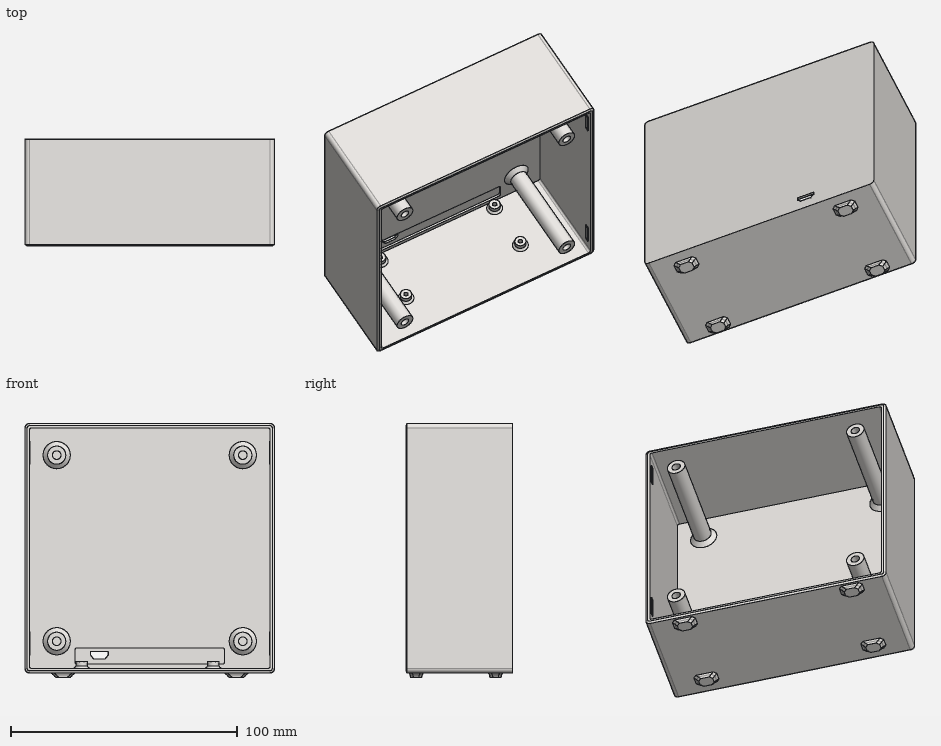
import cadquery as cq
SIDE = 110.0
DEPTH = 47.0
WALL = 2.0
BACK_WALL = 2.0
OUTER_RADIUS = 2.0
INNER_RADIUS = 1.0
RIM_CHAMFER_WIDTH = 1.0
RIM_CHAMFER_DEPTH = 0.5

FRONT_Y = -DEPTH / 2
BACK_Y = DEPTH / 2
FLOOR_Y = BACK_Y - BACK_WALL
BOTTOM_Z = -SIDE / 2
INNER_BOTTOM_Z = BOTTOM_Z + WALL
INNER_HALF = SIDE / 2 - WALL

POST_OFFSET = 41.0
POST_DIAMETER = 8.0
POST_HOLE_DIAMETER = 3.8
POST_BASE_DIAMETER = 12.0
POST_BASE_HEIGHT = 2.0
POST_TIP_Y = FRONT_Y

STANDOFF_SPACING_X = 58.0
STANDOFF_SPACING_Y = 23.0
STANDOFF_CENTER_X = -1.0
STANDOFF_CENTER_Y = 6.5
STANDOFF_DIAMETER = 5.0
STANDOFF_HOLE_DIAMETER = 1.9
STANDOFF_BASE_DIAMETER = 7.0
STANDOFF_BASE_HEIGHT = 1.0
STANDOFF_HEIGHT = 3.0

RECESS_WIDTH = 66.0
RECESS_HEIGHT = 7.2
RECESS_BOTTOM_Z = BOTTOM_Z + 3.9
RECESS_DEPTH = 1.0
RECESS_RADIUS = 1.0

PORT_CENTER_X = -22.2
PORT_TOP_WIDTH = 7.8
PORT_BOTTOM_WIDTH = 5.0
PORT_BOTTOM_Z = BOTTOM_Z + 6.2
PORT_SHOULDER_HEIGHT = 1.8
PORT_HEIGHT = 3.2

RIDGE_LENGTH = 10.0
RIDGE_WIDTH = 2.0
RIDGE_HEIGHT = 0.3
RIDGE_OFFSET_Z = 42.0
RIDGE_CENTER_Y = FRONT_Y + 2.9

FOOT_HEIGHT = 2.0
FOOT_FLARE_HEIGHT = 0.9
FOOT_ROOT_SIZE = (10.5, 6.2)
FOOT_NECK_SIZE = (8.4, 5.4)
FOOT_TIP_SIZE = (6.4, 4.9)
FOOT_CORNER = 1.3
FOOT_OFFSET_X = 38.2
FOOT_CENTERS_Y = (FRONT_Y + 4.5, BACK_Y - 7.5)

OVERLAP = 0.5


def flared_pin(diameter, base_diameter, base_height, height):
    """Pin along +Z with a conical foot; it starts OVERLAP below Z = 0 to fuse with its wall."""
    radius = diameter / 2
    base_radius = base_diameter / 2
    return (
        cq.Workplane("XZ")
        .moveTo(0, -OVERLAP)
        .lineTo(base_radius, -OVERLAP)
        .lineTo(base_radius, 0)
        .lineTo(radius, base_height)
        .lineTo(radius, height)
        .lineTo(0, height)
        .close()
        .revolve(360, (0, 0, 0), (0, 1, 0))
    )


def make_shell():
    outer = cq.Workplane("XY").box(SIDE, DEPTH, SIDE).edges("|Y").fillet(OUTER_RADIUS)
    outer = outer.faces("<Y").chamfer(RIM_CHAMFER_WIDTH, RIM_CHAMFER_DEPTH)
    cavity = (
        cq.Workplane("XZ", origin=(0, FLOOR_Y, 0))
        .rect(2 * INNER_HALF, 2 * INNER_HALF)
        .extrude(DEPTH)
        .edges("|Y")
        .fillet(INNER_RADIUS)
    )
    return outer.cut(cavity)


def add_posts(body):
    height = FLOOR_Y - POST_TIP_Y
    post = flared_pin(POST_DIAMETER, POST_BASE_DIAMETER, POST_BASE_HEIGHT, height)
    hole = cq.Workplane("XY").circle(POST_HOLE_DIAMETER / 2).extrude(height)
    post = post.cut(hole).rotate((0, 0, 0), (1, 0, 0), 90)
    for x in (-POST_OFFSET, POST_OFFSET):
        for z in (-POST_OFFSET, POST_OFFSET):
            body = body.union(post.translate((x, FLOOR_Y, z)))
    return body


def add_standoffs(body):
    standoff = flared_pin(
        STANDOFF_DIAMETER, STANDOFF_BASE_DIAMETER, STANDOFF_BASE_HEIGHT, STANDOFF_HEIGHT
    )
    hole = cq.Workplane("XY").circle(STANDOFF_HOLE_DIAMETER / 2).extrude(STANDOFF_HEIGHT)
    standoff = standoff.cut(hole)
    for side_x in (-1, 1):
        for side_y in (-1, 1):
            x = STANDOFF_CENTER_X + side_x * STANDOFF_SPACING_X / 2
            y = STANDOFF_CENTER_Y + side_y * STANDOFF_SPACING_Y / 2
            body = body.union(standoff.translate((x, y, INNER_BOTTOM_Z)))
    return body


def cut_recess(body):
    recess = (
        cq.Workplane("XZ", origin=(0, FLOOR_Y + RECESS_DEPTH, RECESS_BOTTOM_Z + RECESS_HEIGHT / 2))
        .rect(RECESS_WIDTH, RECESS_HEIGHT)
        .extrude(RECESS_DEPTH)
        .edges("|Y")
        .fillet(RECESS_RADIUS)
    )
    return body.cut(recess)


def cut_port(body):
    top = PORT_TOP_WIDTH / 2
    bottom = PORT_BOTTOM_WIDTH / 2
    port = (
        cq.Workplane("XZ", origin=(PORT_CENTER_X, BACK_Y, PORT_BOTTOM_Z))
        .moveTo(-bottom, 0)
        .lineTo(bottom, 0)
        .lineTo(top, PORT_SHOULDER_HEIGHT)
        .lineTo(top, PORT_HEIGHT)
        .lineTo(-top, PORT_HEIGHT)
        .lineTo(-top, PORT_SHOULDER_HEIGHT)
        .close()
        .extrude(BACK_WALL)
    )
    return body.cut(port)


def add_ridges(body):
    for side in (-1, 1):
        wall_x = side * INNER_HALF
        for z in (-RIDGE_OFFSET_Z, RIDGE_OFFSET_Z):
            ridge = cq.Workplane("XY", origin=(wall_x, RIDGE_CENTER_Y, z)).box(
                2 * RIDGE_HEIGHT, RIDGE_WIDTH, RIDGE_LENGTH
            )
            body = body.union(ridge)
    return body


def foot_outline(plane, size):
    """Rectangle with cut corners, drawn on the given workplane."""
    half_length = size[0] / 2
    half_width = size[1] / 2
    inner_length = half_length - FOOT_CORNER
    inner_width = half_width - FOOT_CORNER
    return plane.polyline(
        [
            (half_length, -inner_width),
            (half_length, inner_width),
            (inner_length, half_width),
            (-inner_length, half_width),
            (-half_length, inner_width),
            (-half_length, -inner_width),
            (-inner_length, -half_width),
            (inner_length, -half_width),
        ]
    ).close()


def add_feet(body):
    root = cq.Workplane("XY", origin=(0, 0, BOTTOM_Z))
    foot = foot_outline(root, FOOT_ROOT_SIZE).workplane(offset=-FOOT_FLARE_HEIGHT)
    foot = foot_outline(foot, FOOT_NECK_SIZE).workplane(offset=FOOT_FLARE_HEIGHT - FOOT_HEIGHT)
    foot = foot_outline(foot, FOOT_TIP_SIZE).loft(ruled=True)
    for x in (-FOOT_OFFSET_X, FOOT_OFFSET_X):
        for y in FOOT_CENTERS_Y:
            body = body.union(foot.translate((x, y, 0)))
    return body


result = make_shell()
result = add_posts(result)
result = add_standoffs(result)
result = cut_recess(result)
result = cut_port(result)
result = add_ridges(result)
result = add_feet(result)